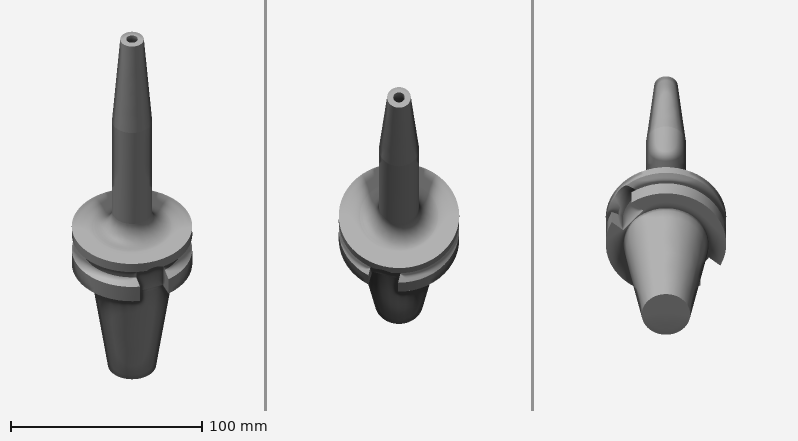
import cadquery as cq
import math


gauge_diameter = 44.45
taper_length = 65.4
taper_ratio = 7 / 24
small_end_diameter = gauge_diameter - taper_length * taper_ratio

flange_diameter = 63.0
flange_bottom_z = 2.0
flange_top_z = 27.0
groove_center_z = 16.6
groove_mouth_width = 10.0
groove_diameter = 53.2
groove_wall_angle = 27.0

slot_width = 16.1
slot_top_z = 23.0
slot_floor_distance = 22.6

projection = 152.4
neck_diameter = 21.0
neck_fillet_radius = 10.0
nose_length = 54.5
nose_tip_diameter = 12.4
bore_diameter = 6.0
bore_depth = 36.0


def make_body():
    """Revolve the half profile of the holder about Z."""
    flange_radius = flange_diameter / 2
    groove_radius = groove_diameter / 2
    neck_radius = neck_diameter / 2
    groove_wall_height = (flange_radius - groove_radius) * math.tan(math.radians(groove_wall_angle))
    groove_low_z = groove_center_z - groove_mouth_width / 2
    groove_high_z = groove_center_z + groove_mouth_width / 2

    fillet_center_r = neck_radius + neck_fillet_radius
    fillet_center_z = flange_top_z + neck_fillet_radius
    diagonal = neck_fillet_radius * math.sqrt(0.5)
    fillet_middle = (fillet_center_r - diagonal, fillet_center_z - diagonal)

    profile = (
        cq.Workplane("XZ")
        .moveTo(0, -taper_length)
        .lineTo(small_end_diameter / 2, -taper_length)
        .lineTo(gauge_diameter / 2, 0)
        .lineTo(gauge_diameter / 2, flange_bottom_z)
        .lineTo(flange_radius, flange_bottom_z)
        .lineTo(flange_radius, groove_low_z)
        .lineTo(groove_radius, groove_low_z + groove_wall_height)
        .lineTo(groove_radius, groove_high_z - groove_wall_height)
        .lineTo(flange_radius, groove_high_z)
        .lineTo(flange_radius, flange_top_z)
        .lineTo(fillet_center_r, flange_top_z)
        .threePointArc(fillet_middle, (neck_radius, fillet_center_z))
        .lineTo(neck_radius, projection - nose_length)
        .lineTo(nose_tip_diameter / 2, projection)
        .lineTo(0, projection)
        .close()
    )
    return profile.revolve(360, (0, 0, 0), (0, 1, 0))


def make_drive_slot(side):
    """Round-topped slot, open at the flange bottom; side is +1 for +X and -1 for -X."""
    half_width = slot_width / 2
    arc_start_z = slot_top_z - half_width
    cut_depth = flange_diameter / 2 - slot_floor_distance
    return (
        cq.Workplane("YZ", origin=(side * slot_floor_distance, 0, 0))
        .moveTo(-half_width, flange_bottom_z)
        .lineTo(-half_width, arc_start_z)
        .threePointArc((0, slot_top_z), (half_width, arc_start_z))
        .lineTo(half_width, flange_bottom_z)
        .close()
        .extrude(side * cut_depth)
    )


def make_tool_bore():
    """Blind bore for the tool, sunk from the nose face."""
    return (
        cq.Workplane("XY", origin=(0, 0, projection))
        .circle(bore_diameter / 2)
        .extrude(-bore_depth)
    )


result = make_body().cut(make_tool_bore())
for side in (1, -1):
    result = result.cut(make_drive_slot(side))